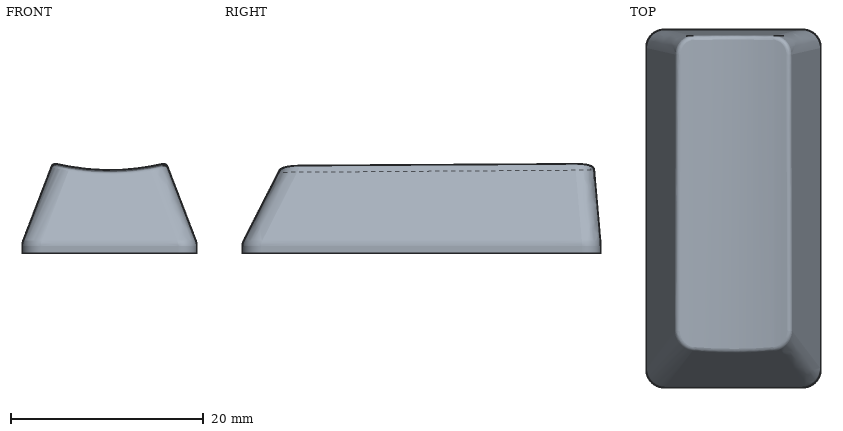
import cadquery as cq
import math

width = 18.15
length = 37.2
height = 9.3

bend_height = 1.05
bend_reach = 0.3

side_lean = 21.0
front_lean = 27.0
back_lean = 5.0

corner_radius = 1.95
top_edge_radius = 0.45

dish_radius = 23.8
dish_bottom_back = 8.67
dish_drop = 0.25

blank_height = height + 0.75
dish_overrun = 3.72


def outline(z, rise):
    """Rounded rectangle at height z, drawn in as far as the walls lean over a given rise."""
    side_inset = rise * math.tan(math.radians(side_lean))
    front_inset = rise * math.tan(math.radians(front_lean))
    back_inset = rise * math.tan(math.radians(back_lean))
    rectangle = cq.Sketch().rect(width - 2 * side_inset, length - front_inset - back_inset)
    center = cq.Vector(0, (front_inset - back_inset) / 2, z)
    return rectangle.vertices().fillet(corner_radius).moved(cq.Location(center))


def make_blank():
    """Upright skirt, a curved bend and leaning walls, stacked into one flat-topped block."""
    bend_start = bend_height - bend_reach
    bend_end = bend_height + bend_reach
    skirt_outline = outline(bend_start, 0)
    middle_outline = outline(bend_height, bend_reach / 4)
    wall_outline = outline(bend_end, bend_reach)
    top_outline = outline(blank_height, blank_height - bend_height)

    skirt = cq.Workplane("XY").placeSketch(outline(0, 0)).extrude(bend_start)
    bend = cq.Workplane("XY").placeSketch(skirt_outline, middle_outline, wall_outline).loft()
    walls = cq.Workplane("XY").placeSketch(wall_outline, top_outline).loft(ruled=True)
    return skirt.union(bend).union(walls)


def make_dish():
    """Long cylinder whose underside cuts the dished top."""
    slope = math.degrees(math.atan2(dish_drop, length))
    back = length / 2
    return (
        cq.Workplane("XZ", origin=(0, back + dish_overrun, dish_bottom_back + dish_radius))
        .circle(dish_radius)
        .extrude(length + 2 * dish_overrun)
        .rotate((0, back, dish_bottom_back), (1, back, dish_bottom_back), slope)
    )


dished = make_blank().cut(make_dish())
dish_face = cq.selectors.NearestToPointSelector((0, 0, dish_bottom_back - dish_drop / 2))
result = dished.faces(dish_face).edges().fillet(top_edge_radius)